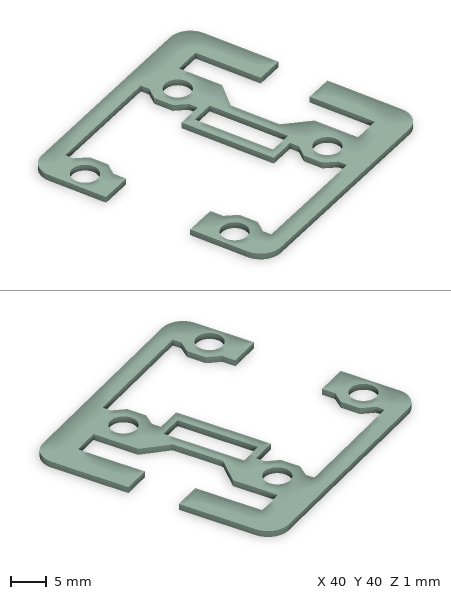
import cadquery as cq

SIDE = 40.0
THICKNESS = 1.0
CORNER_RADIUS = 3.4
HALF_SIDE = SIDE / 2

MOUTH_WIDTH = 8.2
UNDERCUT_WIDTH = 30.0
UNDERCUT_TOP = 15.45
UNDERCUT_BOTTOM = 11.1
TAPER_WIDTH = 15.45
SLOT_FLOOR = 7.7

OPENING_WIDTH = 34.5
OPENING_TOP = 4.75
OPENING_BOTTOM = -14.8
GAP_WIDTH = 14.1

FRAME_WIDTH = TAPER_WIDTH
FRAME_BOTTOM = 0.55
WINDOW_WIDTH = 13.1
WINDOW_TOP = 6.05
WINDOW_BOTTOM = 2.15

HOLE_DIAMETER = 4.25
HOLE_X = 12.5
UPPER_HOLE_Y = 7.0
LOWER_HOLE_Y = -17.0
LOBE_BASE_WIDTH = 6.65
LOBE_TIP_WIDTH = 3.1
LOBE_HEIGHT = 1.45


def prism(points):
    """Extrude a closed polygon through the plate thickness."""
    return cq.Workplane("XY").polyline(points).close().extrude(THICKNESS)


def centred_block(width, bottom, top):
    """Block centred on X = 0 between two Y positions."""
    half = width / 2
    return prism([(-half, bottom), (half, bottom), (half, top), (-half, top)])


def top_slot():
    mouth = centred_block(MOUTH_WIDTH, SLOT_FLOOR, HALF_SIDE)
    undercut = centred_block(UNDERCUT_WIDTH, UNDERCUT_BOTTOM, UNDERCUT_TOP)
    taper = prism([
        (-TAPER_WIDTH / 2, UNDERCUT_BOTTOM),
        (-MOUTH_WIDTH / 2, SLOT_FLOOR),
        (MOUTH_WIDTH / 2, SLOT_FLOOR),
        (TAPER_WIDTH / 2, UNDERCUT_BOTTOM),
    ])
    return mouth.union(undercut).union(taper)


def lobe(x, base_y, direction):
    """Trapezoid standing on an opening edge; direction is its sign along Y."""
    tip_y = base_y + direction * LOBE_HEIGHT
    return prism([
        (x - LOBE_BASE_WIDTH / 2, base_y),
        (x - LOBE_TIP_WIDTH / 2, tip_y),
        (x + LOBE_TIP_WIDTH / 2, tip_y),
        (x + LOBE_BASE_WIDTH / 2, base_y),
    ])


def large_opening():
    opening = centred_block(OPENING_WIDTH, OPENING_BOTTOM, OPENING_TOP)
    opening = opening.cut(centred_block(FRAME_WIDTH, FRAME_BOTTOM, OPENING_TOP))
    for x in (-HOLE_X, HOLE_X):
        opening = opening.cut(lobe(x, OPENING_TOP, -1))
        opening = opening.cut(lobe(x, OPENING_BOTTOM, 1))
    return opening.union(centred_block(GAP_WIDTH, -HALF_SIDE, OPENING_BOTTOM))


def screw_holes():
    centres = [(x, y) for x in (-HOLE_X, HOLE_X) for y in (LOWER_HOLE_Y, UPPER_HOLE_Y)]
    return cq.Workplane("XY").pushPoints(centres).circle(HOLE_DIAMETER / 2).extrude(THICKNESS)


plate = cq.Workplane("XY").rect(SIDE, SIDE).extrude(THICKNESS).edges("|Z").fillet(CORNER_RADIUS)
window = centred_block(WINDOW_WIDTH, WINDOW_BOTTOM, WINDOW_TOP)

result = plate.cut(top_slot()).cut(large_opening()).cut(window).cut(screw_holes())